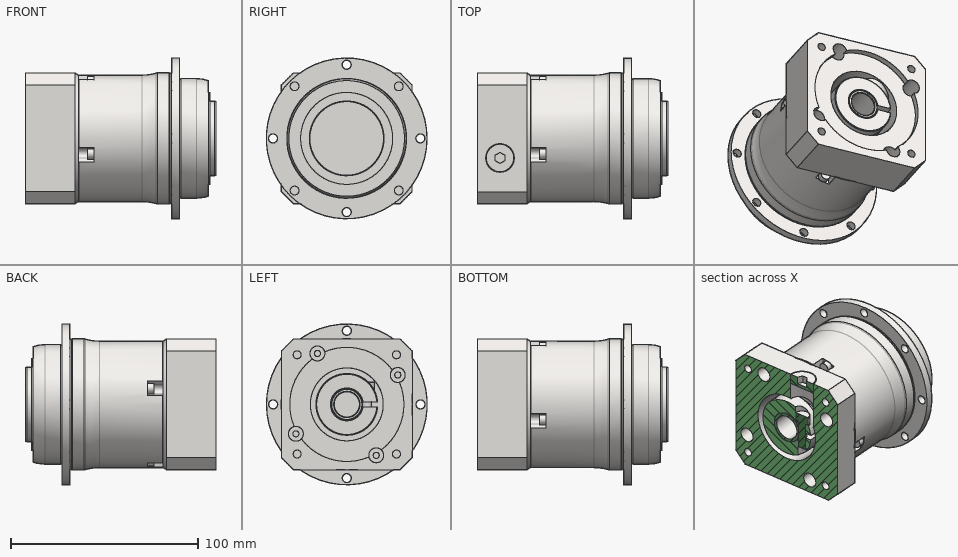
import cadquery as cq
import math


ADAPTER_SIDE = 70.0
ADAPTER_CORNER_CHAMFER = 6.5
ADAPTER_PLATE_LENGTH = 26.5
ADAPTER_LENGTH = 28.4
COLLAR_BORE_RADIUS = 19.5
PILOT_RADIUS = 30.5
PILOT_DEPTH = 3.5
CORNER_HOLE_RADIUS = 2.1
CORNER_HOLE_OFFSET = 26.5
SCREW_CIRCLE_RADIUS = 31.4
COUNTERBORE_RADIUS = 4.0
COUNTERBORE_DEPTH = 20.4
SCREW_HOLE_RADIUS = 1.6
CORNER_HOLE_DEPTH = 18.4
COUNTERBORE_ANGLE = 60.0

SCREW_X = 12.1
SCREW_Y = -10.4
SCREW_HEAD_RADIUS = 4.4
SCREW_HEAD_TOP = 12.0
SCREW_HEAD_HEIGHT = 5.1
SCREW_HEAD_CHAMFER = 0.3
SCREW_SHANK_RADIUS = 2.7
SCREW_TIP_Z = -9.2
PLUG_RADIUS = 7.6
PLUG_THICKNESS = 6.1
PLUG_CHAMFER = 0.3
PLUG_HEX_FLATS = 5.1
PLUG_HEX_DEPTH = 4.1

COLLAR_RADIUS = 16.5
COLLAR_FRONT = 4.2
COLLAR_LENGTH = 2 * (SCREW_X - COLLAR_FRONT)
COLLAR_CHAMFER = 0.4
COLLAR_BORE_CHAMFER = 0.4
COLLAR_SLIT = 2.7
SHAFT_RADIUS = 8.4
SHAFT_BORE_RADIUS = 6.7
SHAFT_CHAMFER = 0.3

BODY_RADIUS = 33.9
BODY_END = 62.3
BODY_CHAMFER = 0.3
FLARE_END = 69.9
FLARE_END_RADIUS = 34.9
SHOULDER_RADIUS = 35.2
SHOULDER_START = 70.6
SHOULDER_END = 76.8
GROOVE_DEPTH = 0.3
GROOVE_RUN_IN = 0.6
FLANGE_START = 78.2
FLANGE_END = 82.5
FLANGE_RADIUS = 86.0 / 2
SPIGOT_START = 83.1
SPIGOT_RADIUS = 32.0
SPIGOT_CURVE_START = 91.6
SPIGOT_END = 97.8
SPIGOT_END_RADIUS = 30.9
RING_RADIUS = 24.6
RING_END = 98.6
HUB_RADIUS = 20.0
HUB_END = 102.0
HUB_CHAMFER_LENGTH = 0.8
HUB_CHAMFER_DROP = 0.3
FLANGE_HOLE_COUNT = 8
FLANGE_HOLE_RADIUS = 2.3
FLANGE_HOLE_CIRCLE = 39.4

WINDOW_ANGLE = 15.5
WINDOW_END = 36.7
WINDOW_FLOOR_RADIUS = 2.8
WINDOW_FLOOR_CENTER = 30.6
WINDOW_NEAR_FLANK_ANGLE = 16.0
WINDOW_FAR_FLANK_ANGLE = 23.0
WINDOW_FLANK_LENGTH = 8.2
SCREW_BOSS_RADIUS = 2.8
SCREW_BOSS_START = 33.4

QUARTER_TURNS = (0, 90, 180, 270)


def x_cylinder(start, end, radius, y=0.0, z=0.0):
    """Cylinder along X between two X positions."""
    return cq.Workplane("YZ", origin=(start, y, z)).circle(radius).extrude(end - start)


def z_cylinder(bottom, top, radius):
    """Cylinder along the clamp screw axis between two heights."""
    return cq.Workplane("XY", origin=(SCREW_X, SCREW_Y, bottom)).circle(radius).extrude(top - bottom)


def turned(body, angle):
    """Copy of a body turned about the gearhead axis."""
    return body.rotate((0, 0, 0), (1, 0, 0), angle)


def make_adapter():
    plate = (
        cq.Workplane("YZ")
        .rect(ADAPTER_SIDE, ADAPTER_SIDE)
        .extrude(ADAPTER_PLATE_LENGTH)
        .edges("|X")
        .chamfer(ADAPTER_CORNER_CHAMFER)
    )
    neck = (
        cq.Workplane("YZ", origin=(ADAPTER_PLATE_LENGTH, 0, 0))
        .circle(ADAPTER_SIDE / 2)
        .workplane(offset=ADAPTER_LENGTH - ADAPTER_PLATE_LENGTH)
        .circle(BODY_RADIUS)
        .loft()
    )
    adapter = plate.union(neck)
    adapter = adapter.cut(x_cylinder(0, PILOT_DEPTH, PILOT_RADIUS))
    adapter = adapter.cut(x_cylinder(0, ADAPTER_LENGTH, COLLAR_BORE_RADIUS))
    for y in (-CORNER_HOLE_OFFSET, CORNER_HOLE_OFFSET):
        for z in (-CORNER_HOLE_OFFSET, CORNER_HOLE_OFFSET):
            adapter = adapter.cut(x_cylinder(0, CORNER_HOLE_DEPTH, CORNER_HOLE_RADIUS, y, z))
    counterbore = x_cylinder(0, COUNTERBORE_DEPTH, COUNTERBORE_RADIUS, SCREW_CIRCLE_RADIUS)
    screw_hole = x_cylinder(0, ADAPTER_LENGTH, SCREW_HOLE_RADIUS, SCREW_CIRCLE_RADIUS)
    for turn in QUARTER_TURNS:
        adapter = adapter.cut(turned(counterbore, COUNTERBORE_ANGLE + turn))
        adapter = adapter.cut(turned(screw_hole, COUNTERBORE_ANGLE + turn))
    return adapter.cut(z_cylinder(0, ADAPTER_SIDE / 2, PLUG_RADIUS))


def make_plug():
    top = ADAPTER_SIDE / 2
    plug = z_cylinder(top - PLUG_THICKNESS, top, PLUG_RADIUS).faces(">Z").chamfer(PLUG_CHAMFER)
    hex_corners = PLUG_HEX_FLATS / math.cos(math.pi / 6)
    socket = (
        cq.Workplane("XY", origin=(SCREW_X, SCREW_Y, top))
        .transformed(rotate=(0, 0, 90))
        .polygon(6, hex_corners)
        .extrude(-PLUG_HEX_DEPTH)
    )
    return plug.cut(socket)


def make_clamp_screw():
    head_bottom = SCREW_HEAD_TOP - SCREW_HEAD_HEIGHT
    head = z_cylinder(head_bottom, SCREW_HEAD_TOP, SCREW_HEAD_RADIUS).faces(">Z").chamfer(SCREW_HEAD_CHAMFER)
    return head.union(z_cylinder(SCREW_TIP_Z, head_bottom, SCREW_SHANK_RADIUS))


def make_collar():
    collar_end = COLLAR_FRONT + COLLAR_LENGTH
    collar = x_cylinder(COLLAR_FRONT, collar_end, COLLAR_RADIUS).faces("<X").chamfer(COLLAR_CHAMFER)
    bore = x_cylinder(COLLAR_FRONT, collar_end, SHAFT_RADIUS)
    collar = collar.cut(bore)
    bore_mouth = collar.faces("<X").edges(cq.selectors.RadiusNthSelector(0))
    collar = bore_mouth.chamfer(COLLAR_BORE_CHAMFER)
    slit = (
        cq.Workplane("XY")
        .box(COLLAR_LENGTH, COLLAR_RADIUS, COLLAR_SLIT, centered=(False, False, True))
        .translate((COLLAR_FRONT, -COLLAR_RADIUS, 0))
    )
    head_seat = z_cylinder(SCREW_HEAD_TOP - SCREW_HEAD_HEIGHT, COLLAR_RADIUS, SCREW_HEAD_RADIUS)
    thread = z_cylinder(-COLLAR_RADIUS, COLLAR_RADIUS, SCREW_SHANK_RADIUS)
    return collar.cut(slit).cut(head_seat).cut(thread)


def make_input_shaft():
    shaft = x_cylinder(COLLAR_FRONT, ADAPTER_LENGTH, SHAFT_RADIUS)
    shaft = shaft.cut(x_cylinder(COLLAR_FRONT, ADAPTER_LENGTH, SHAFT_BORE_RADIUS))
    shaft = shaft.faces("<X").edges().chamfer(SHAFT_CHAMFER)
    return shaft.cut(z_cylinder(-COLLAR_RADIUS, COLLAR_RADIUS, SCREW_SHANK_RADIUS))


def make_housing_blank():
    """Turned profile with a flared shoulder, mounting flange, spigot and output hub."""
    flare_middle = ((BODY_END + FLARE_END) / 2, BODY_RADIUS + (FLARE_END_RADIUS - BODY_RADIUS) / 4)
    crown_middle = (
        (SPIGOT_CURVE_START + SPIGOT_END) / 2,
        SPIGOT_RADIUS - (SPIGOT_RADIUS - SPIGOT_END_RADIUS) / 4,
    )
    return (
        cq.Workplane("XY")
        .moveTo(ADAPTER_LENGTH, 0)
        .lineTo(ADAPTER_LENGTH, BODY_RADIUS - BODY_CHAMFER)
        .lineTo(ADAPTER_LENGTH + BODY_CHAMFER, BODY_RADIUS)
        .lineTo(BODY_END, BODY_RADIUS)
        .threePointArc(flare_middle, (FLARE_END, FLARE_END_RADIUS))
        .lineTo(SHOULDER_START, SHOULDER_RADIUS)
        .lineTo(SHOULDER_END, SHOULDER_RADIUS)
        .lineTo(SHOULDER_END + GROOVE_RUN_IN, SHOULDER_RADIUS - GROOVE_DEPTH)
        .lineTo(FLANGE_START, SHOULDER_RADIUS - GROOVE_DEPTH)
        .lineTo(FLANGE_START, FLANGE_RADIUS)
        .lineTo(FLANGE_END, FLANGE_RADIUS)
        .lineTo(FLANGE_END, SPIGOT_RADIUS - GROOVE_DEPTH)
        .lineTo(SPIGOT_START, SPIGOT_RADIUS - GROOVE_DEPTH)
        .lineTo(SPIGOT_START, SPIGOT_RADIUS)
        .lineTo(SPIGOT_CURVE_START, SPIGOT_RADIUS)
        .threePointArc(crown_middle, (SPIGOT_END, SPIGOT_END_RADIUS))
        .lineTo(SPIGOT_END, RING_RADIUS)
        .lineTo(RING_END, RING_RADIUS)
        .lineTo(RING_END, HUB_RADIUS)
        .lineTo(HUB_END - HUB_CHAMFER_LENGTH, HUB_RADIUS)
        .lineTo(HUB_END, HUB_RADIUS - HUB_CHAMFER_DROP)
        .lineTo(HUB_END, 0)
        .close()
        .revolve(360, (0, 0, 0), (1, 0, 0))
    )


def flank_points(side, angle):
    """Start and end (Y, Z) of a window flank that leaves the round floor tangentially."""
    slope = math.radians(angle)
    start = (
        side * WINDOW_FLOOR_RADIUS * math.cos(slope),
        WINDOW_FLOOR_CENTER - WINDOW_FLOOR_RADIUS * math.sin(slope),
    )
    end = (
        start[0] + side * WINDOW_FLANK_LENGTH * math.sin(slope),
        start[1] + WINDOW_FLANK_LENGTH * math.cos(slope),
    )
    return start, end


def make_window():
    """Radial window with a round floor and flanks that spread outward."""
    near_start, near_end = flank_points(-1, WINDOW_NEAR_FLANK_ANGLE)
    far_start, far_end = flank_points(1, WINDOW_FAR_FLANK_ANGLE)
    return (
        cq.Workplane("YZ", origin=(ADAPTER_LENGTH, 0, 0))
        .moveTo(*near_end)
        .lineTo(*near_start)
        .threePointArc((0, WINDOW_FLOOR_CENTER - WINDOW_FLOOR_RADIUS), far_start)
        .lineTo(*far_end)
        .close()
        .extrude(WINDOW_END - ADAPTER_LENGTH)
    )


def make_housing():
    housing = make_housing_blank()
    hole = x_cylinder(FLANGE_START, FLANGE_END, FLANGE_HOLE_RADIUS, 0, FLANGE_HOLE_CIRCLE)
    for index in range(FLANGE_HOLE_COUNT):
        housing = housing.cut(turned(hole, 360 * index / FLANGE_HOLE_COUNT))
    window = make_window()
    screw_boss = x_cylinder(SCREW_BOSS_START, WINDOW_END, SCREW_BOSS_RADIUS, 0, SCREW_CIRCLE_RADIUS)
    for turn in QUARTER_TURNS:
        housing = housing.cut(turned(window, WINDOW_ANGLE + turn))
        housing = housing.union(turned(screw_boss, WINDOW_ANGLE + turn))
    return housing


adapter = make_adapter()
plug = make_plug()
clamp_screw = make_clamp_screw()
collar = make_collar()
input_shaft = make_input_shaft()
housing = make_housing()

result = cq.Compound.makeCompound([
    adapter.val(),
    plug.val(),
    clamp_screw.val(),
    collar.val(),
    input_shaft.val(),
    housing.val(),
])